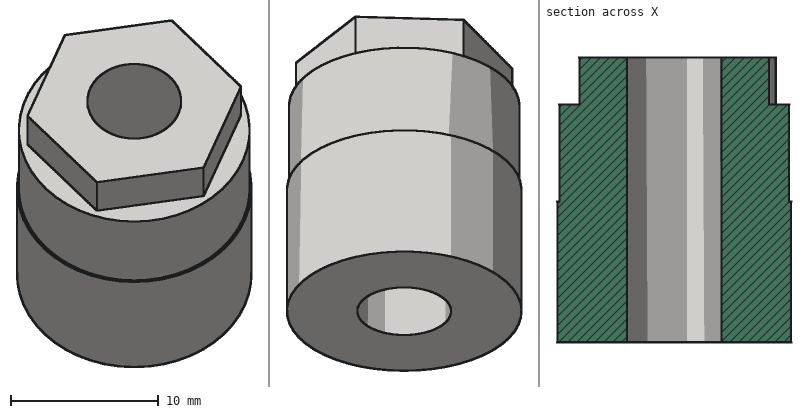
import cadquery as cq
import math

total_height = 19.28
base_height = 9.52
hex_height = 3.18
collar_height = total_height - base_height - hex_height

base_diameter = 15.89
collar_diameter = 15.62
bore_diameter = 6.35
hex_across_flats = 12.7
hex_across_corners = hex_across_flats / math.cos(math.radians(30))
hex_turn = -9.6

base = cq.Workplane("XY").circle(base_diameter / 2).extrude(base_height)
collar = (
    cq.Workplane("XY", origin=(0, 0, base_height))
    .circle(collar_diameter / 2)
    .extrude(collar_height)
)

head = (
    cq.Workplane("XY", origin=(0, 0, base_height + collar_height))
    .polygon(6, hex_across_corners)
    .extrude(hex_height)
    .rotate((0, 0, 0), (0, 0, 1), hex_turn)
)

bore = cq.Workplane("XY").circle(bore_diameter / 2).extrude(total_height)

result = base.union(collar).union(head).cut(bore)